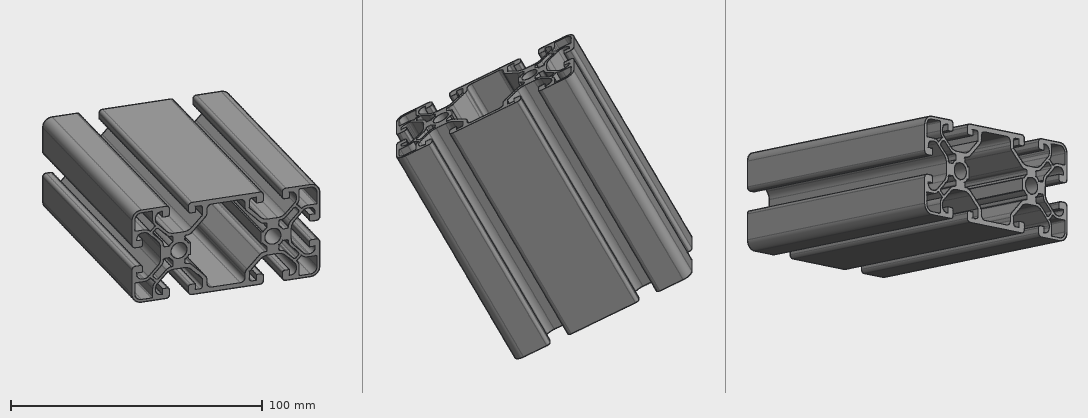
import cadquery as cq
import math


length = 100.0
width = 80.0
height = 40.0
half_width = width / 2
half_height = height / 2
outer_radius = 4.0

core_y = half_width - half_height
bore_radius = 3.4
core_ring_radius = 4.9
core_arm_half = 2.5
core_nose_reach = 5.0

mouth_half = 4.0
lip_inner_half = 7.0
lip_depth = 4.5
lip_outer_radius = 1.5
lip_inner_radius = 1.0
pocket_half = 10.0
plate_thickness = 2.0
pocket_radius = 2.5
square_pocket_radius = 1.2
floor_depth = 12.2
floor_radius = 4.5
flank_offset = 3.8

thin_wall = 1.2
inner_wall = 1.9
inner_diagonal_wall = 1.6

cavity_corner_radius = 0.5
channel_end_radius = 0.8
core_corner_radius = 0.7
center_plate_radius = 2.0

root_two = math.sqrt(2)
bend_tangent = math.tan(math.pi / 8)
touching_gap = 1e-06

core_half = half_height - floor_depth
flank_sum = half_height - flank_offset

bend_center_across = pocket_half - pocket_radius
bend_center_out = pocket_half + flank_offset + pocket_radius * bend_tangent
bend_radius = pocket_radius + thin_wall
web_across = bend_center_across + bend_radius / root_two
web_out = bend_center_out - bend_radius / root_two


def mirror_y(corners):
    return [(-y, z, radius) for y, z, radius in reversed(corners)]


def mirror_z(corners):
    return [(y, -z, radius) for y, z, radius in reversed(corners)]


def mirror_diagonal(corners):
    return [(z, y, radius) for y, z, radius in reversed(corners)]


def all_quarters(quarter):
    """Closed corner loop from the corners of its +Y, +Z quarter."""
    right_half = quarter + mirror_z(quarter)
    return right_half + mirror_y(right_half)


def round_corner(previous, corner, following):
    """Start, middle and end of the arc that rounds a (y, z, radius) corner."""
    y, z, radius = corner
    point = cq.Vector(y, z)
    back = (cq.Vector(*previous[:2]) - point).normalized()
    ahead = (cq.Vector(*following[:2]) - point).normalized()
    half_angle = back.getAngle(ahead) / 2
    setback = radius / math.tan(half_angle)
    inset = radius / math.sin(half_angle) - radius
    return point + back * setback, point + (back + ahead).normalized() * inset, point + ahead * setback


def bar(corners):
    """Full-length bar whose section is a polygon of (y, z, radius) corners with tangent arcs."""
    followers = corners[1:] + corners[:1]
    predecessors = corners[-1:] + corners[:-1]
    arcs = [round_corner(*trio) for trio in zip(predecessors, corners, followers)]
    last = arcs[-1][2]
    path = cq.Workplane("YZ").moveTo(last.x, last.y)
    for (start, middle, end), (_, _, radius) in zip(arcs, corners):
        if (start - last).Length > touching_gap:
            path = path.lineTo(start.x, start.y)
        if radius > 0:
            path = path.threePointArc((middle.x, middle.y), (end.x, end.y))
        last = end
    return path.close().extrude(length)


def half_slot(upper_radius, lower_radius):
    """Slot corners from mouth to floor as (across, depth, radius)."""
    return [
        (mouth_half, 0, lip_outer_radius),
        (mouth_half, lip_depth, lip_inner_radius),
        (lip_inner_half, lip_depth, 0),
        (lip_inner_half, plate_thickness, 0),
        (pocket_half, plate_thickness, upper_radius),
        (pocket_half, flank_sum - pocket_half, lower_radius),
        (flank_sum - floor_depth, floor_depth, floor_radius),
    ]


def outer_outline():
    """Outer boundary with its six slots; pockets next to the middle are squarer."""
    round_side = half_slot(pocket_radius, pocket_radius)
    square_side = half_slot(square_pocket_radius, 0)
    quarter = [(core_y - across, half_height - depth, r) for across, depth, r in square_side]
    quarter += [(core_y + across, half_height - depth, r) for across, depth, r in reversed(round_side)]
    quarter.append((half_width, half_height, outer_radius))
    quarter += [(half_width - depth, across, r) for across, depth, r in round_side]
    return all_quarters(quarter)


def corner_cavity():
    """Hollow behind an outer corner, measured from the core centre."""
    wall = pocket_half + thin_wall
    edge = half_height - thin_wall
    side = [
        (web_across, web_out, 0),
        (wall, bend_center_out - bend_radius * bend_tangent, bend_radius),
        (wall, edge, cavity_corner_radius),
    ]
    outer_corner = [(edge, edge, outer_radius - thin_wall)]
    return side + outer_corner + mirror_diagonal(side)


def diagonal_channel():
    """Narrow hollow along the 45 degree line, widening beside the core; from the core centre."""
    channel_offset = flank_offset - thin_wall * root_two
    end_sum = web_across + web_out - thin_wall * root_two
    arm_end = core_half - thin_wall
    side = [
        ((end_sum - channel_offset) / 2, (end_sum + channel_offset) / 2, channel_end_radius),
        (arm_end - channel_offset, arm_end, floor_radius - thin_wall),
        (core_arm_half, arm_end, core_corner_radius),
    ]
    inner_corner = [(core_arm_half, core_arm_half, 0)]
    return side + inner_corner + mirror_diagonal(side)


def center_cavity():
    """Large hollow between the two cores."""
    reach = pocket_half + inner_wall
    diagonal_offset = flank_offset - inner_diagonal_wall * root_two
    arm_end = core_half - inner_diagonal_wall
    bend = floor_radius - inner_diagonal_wall
    side = [
        (reach, half_height - plate_thickness, center_plate_radius),
        (reach, reach + diagonal_offset, bend),
        (arm_end - diagonal_offset, arm_end, bend),
        (core_arm_half, arm_end, core_corner_radius),
        (core_arm_half, core_arm_half, 0),
        (core_nose_reach, core_arm_half, 0),
    ]
    return all_quarters([(core_y - inward, up, radius) for inward, up, radius in side])


def hollows():
    solid = bar(center_cavity())
    for corners in (corner_cavity(), diagonal_channel()):
        placed = [(core_y + across, up, radius) for across, up, radius in corners]
        for upper in (placed, mirror_y(placed)):
            solid = solid.union(bar(upper)).union(bar(mirror_z(upper)))
    return solid


cores = cq.Workplane("YZ").pushPoints([(core_y, 0), (-core_y, 0)])
rings = cores.circle(core_ring_radius).extrude(length)
bores = cores.circle(bore_radius).extrude(length)

result = bar(outer_outline()).cut(hollows().cut(rings)).cut(bores)